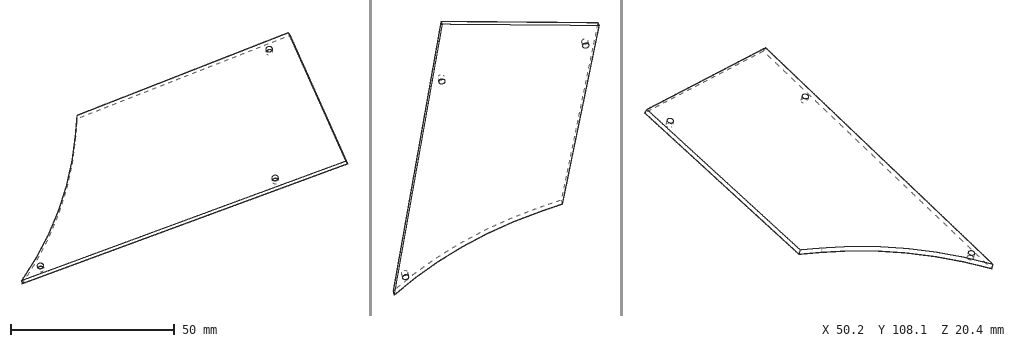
import cadquery as cq

SLOPE_X = -0.132
SLOPE_Y = 0.117

CORNER = (-23.3, 53.3, 10.2)
BACK_EDGE_DX = 44.8
BACK_EDGE_DY = -1.6

THICKNESS = 2.1
BACK_BEVEL = 0.5
HOLE_DIAMETER = 2.0

BACK_WIDTH = 48.9
TIP = (49.4, -106.4)
ARC_MIDDLE = (30.8, -87.2)
ARC_START = (8.3, -73.0)
FRONT_LEFT = (2.0, -70.0)
HOLE_CENTRES = [(3.1, -7.5), (46.0, -22.1), (46.8, -99.3)]

CUT_MARGIN = 1.1

back_edge_dz = SLOPE_X * BACK_EDGE_DX + SLOPE_Y * BACK_EDGE_DY
plate_plane = cq.Plane(
    origin=CORNER,
    xDir=(BACK_EDGE_DX, BACK_EDGE_DY, back_edge_dz),
    normal=(-SLOPE_X, -SLOPE_Y, 1),
)


def flat_plate():
    """Plate with its upper face at z = 0 and its lower back edge overhanging the upper one."""
    return (
        cq.Workplane("XY")
        .moveTo(0, BACK_BEVEL)
        .lineTo(BACK_WIDTH, BACK_BEVEL)
        .lineTo(*TIP)
        .threePointArc(ARC_MIDDLE, ARC_START)
        .lineTo(*FRONT_LEFT)
        .close()
        .extrude(-THICKNESS)
    )


def back_bevel_cutter():
    """Wedge that slopes the back side across the full thickness."""
    return (
        cq.Workplane("YZ", origin=(-CUT_MARGIN, 0, 0))
        .polyline([(0, 0), (BACK_BEVEL, -THICKNESS), (BACK_BEVEL, 0)])
        .close()
        .extrude(BACK_WIDTH + 2 * CUT_MARGIN)
    )


def hole_cutters():
    """Through holes square to the plate."""
    return cq.Workplane("XY").pushPoints(HOLE_CENTRES).circle(HOLE_DIAMETER / 2).extrude(-THICKNESS)


plate = flat_plate().cut(back_bevel_cutter()).cut(hole_cutters())

result = cq.Workplane(plate.val().moved(cq.Location(plate_plane)))